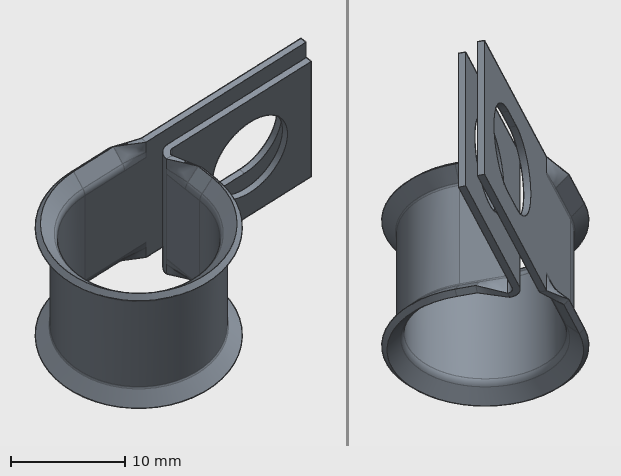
import cadquery as cq
import math

thickness = 0.65
height = 14.25
ring_outer = 7.77
ring_inner = ring_outer - thickness
ring_sweep = 270

rim_radius = 9.05
flare_angle = math.radians(45)
flare_bend_outer = 0.28
flare_bend_inner = flare_bend_outer + thickness
long_side_flare = 4.65
short_side_flare = 1.88
flare_runout = 2.5

long_leg_end = 25.8
short_leg_end = 24.58
corner_inner = 0.63
corner_outer = corner_inner + thickness
corner_x = -(short_side_flare + flare_runout)
corner_y = ring_inner + corner_outer

hole_diameter = 8.7
slot_length = 11.1
hole_y = 17.43

half_height = height / 2
sin_flare = math.sin(flare_angle)
cos_flare = math.cos(flare_angle)
tip_z = half_height - thickness * sin_flare
rim_top_radius = rim_radius - thickness * cos_flare
bend_center_radius = ring_outer + flare_bend_outer
bend_end_radius = bend_center_radius - flare_bend_outer * cos_flare
bend_end_z = tip_z - (rim_radius - bend_end_radius) / math.tan(flare_angle)
bend_z = bend_end_z - flare_bend_outer * sin_flare


def bend_point(radius, angle):
    """Point on the flare bend; angle 0 is where the bend leaves the ring wall."""
    return bend_center_radius - radius * math.cos(angle), bend_z + radius * math.sin(angle)


def flared_section(plane):
    return (
        cq.Workplane(plane)
        .moveTo(ring_inner, bend_z)
        .lineTo(ring_outer, bend_z)
        .threePointArc(
            bend_point(flare_bend_outer, flare_angle / 2),
            bend_point(flare_bend_outer, flare_angle),
        )
        .lineTo(rim_radius, tip_z)
        .lineTo(rim_top_radius, half_height)
        .lineTo(*bend_point(flare_bend_inner, flare_angle))
        .threePointArc(bend_point(flare_bend_inner, flare_angle / 2), (ring_inner, bend_z))
        .close()
    )


def flat_section(plane):
    """Unflared strip edge, split into as many sides as the flared section."""
    return (
        cq.Workplane(plane)
        .moveTo(ring_inner, bend_z)
        .lineTo(ring_outer, bend_z)
        .lineTo(ring_outer, bend_end_z)
        .lineTo(ring_outer, half_height)
        .lineTo(ring_inner, half_height)
        .lineTo(ring_inner, bend_point(flare_bend_inner, flare_angle)[1])
        .close()
    )


def radial_plane(radial, normal, distance):
    """Plane whose local x is the radial direction, moved along its normal."""
    origin = tuple(distance * part for part in normal)
    return cq.Plane(origin=origin, xDir=radial, normal=normal)


def flare_arm(radial, normal, straight):
    """Straight flare followed by its run-out; the sign of straight sets the direction."""
    runout_end = straight + math.copysign(flare_runout, straight)
    arm = flared_section(radial_plane(radial, normal, 0)).extrude(straight)
    start = flared_section(radial_plane(radial, normal, straight)).val()
    end = flat_section(radial_plane(radial, normal, runout_end)).val()
    runout = cq.Solid.makeLoft([start, end], True)
    return arm.union(cq.Workplane(runout))


def top_flare():
    ring = flared_section(radial_plane((-1, 0, 0), (0, 1, 0), 0)).revolve(ring_sweep, (0, 0), (0, 1))
    long_side = flare_arm((-1, 0, 0), (0, 1, 0), long_side_flare)
    short_side = flare_arm((0, 1, 0), (1, 0, 0), -short_side_flare)
    return ring.union(long_side).union(short_side)


def strip():
    """Unflared strip: long leg, ring, corner bend and short leg."""
    diagonal = math.sqrt(0.5)
    return (
        cq.Workplane("XY")
        .moveTo(-ring_outer, long_leg_end)
        .lineTo(-ring_outer, 0)
        .threePointArc((ring_outer * diagonal, -ring_outer * diagonal), (0, ring_outer))
        .lineTo(corner_x, ring_outer)
        .threePointArc(
            (corner_x - corner_inner * diagonal, corner_y - corner_inner * diagonal),
            (corner_x - corner_inner, corner_y),
        )
        .lineTo(corner_x - corner_inner, short_leg_end)
        .lineTo(corner_x - corner_outer, short_leg_end)
        .lineTo(corner_x - corner_outer, corner_y)
        .threePointArc(
            (corner_x - corner_outer * diagonal, corner_y - corner_outer * diagonal),
            (corner_x, ring_inner),
        )
        .lineTo(0, ring_inner)
        .threePointArc((ring_inner * diagonal, -ring_inner * diagonal), (-ring_inner, 0))
        .lineTo(-ring_inner, long_leg_end)
        .close()
        .extrude(half_height, both=True)
    )


def rim_clearance():
    """Space above the ring wall that the top flare takes over."""
    flare_end_y = long_side_flare + flare_runout
    depth = half_height - bend_z
    long_side = cq.Workplane("XY", origin=(-rim_radius, -rim_radius, bend_z)).box(
        2 * rim_radius, rim_radius + flare_end_y, depth, centered=False
    )
    short_side = cq.Workplane("XY", origin=(corner_x, -rim_radius, bend_z)).box(
        rim_radius - corner_x, 2 * rim_radius, depth, centered=False
    )
    corner = cq.Workplane("XY", origin=(corner_x - corner_outer, 0, bend_z)).box(
        corner_outer, rim_radius, depth, centered=False
    )
    return long_side.cut(corner).union(short_side)


def bolt_openings():
    """Slot through the long leg and round hole through the short leg."""
    side = cq.Plane(origin=(-ring_outer, hole_y, 0), xDir=(0, 1, 0), normal=(1, 0, 0))
    slot = cq.Workplane(side).slot2D(slot_length, hole_diameter).extrude(thickness)
    hole = cq.Workplane(side).circle(hole_diameter / 2).extrude(ring_outer)
    return slot.union(hole)


clearance = rim_clearance()
flare = top_flare()
result = (
    strip()
    .cut(clearance)
    .cut(clearance.mirror("XY"))
    .union(flare)
    .union(flare.mirror("XY"))
    .cut(bolt_openings())
)